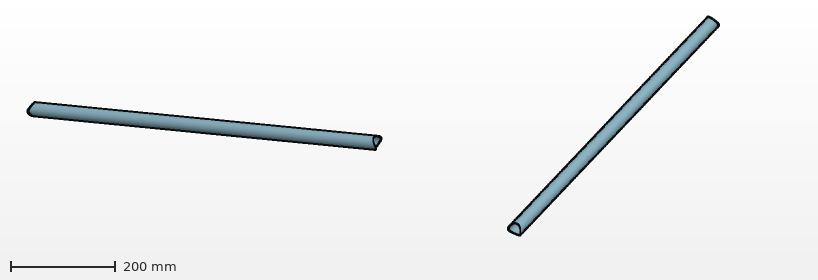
import cadquery as cq
import math

tube_diameter = 28.0
wall_thickness = 1.5
mating_diameter = 31.0

span_x = 743.26
span_y = 130.26
span_z = 57.03

start_roll = 5.0
start_lean = 0.0
end_roll = 23.0
end_lean = 5.0

bore_diameter = tube_diameter - 2 * wall_thickness
cutter_length = 4 * tube_diameter
span = cq.Vector(span_x, span_y, span_z)
start_point = span * -0.5
end_point = span * 0.5
tube_axis = span.normalized()
side_direction = cq.Vector(0, 0, 1).cross(tube_axis).normalized()
upright_direction = tube_axis.cross(side_direction)


def make_tube():
    """Straight round tube reaching from one mating axis to the other."""
    start_plane = cq.Plane(start_point, xDir=upright_direction, normal=tube_axis)
    section = cq.Workplane(start_plane).circle(tube_diameter / 2).circle(bore_diameter / 2)
    return section.extrude(span.Length)


def cope_cutter(centre, roll, lean):
    """Mating member through centre: upright, rolled about the tube, then leaned along it."""
    roll_angle = math.radians(roll)
    lean_angle = math.radians(lean)
    square_axis = upright_direction * math.cos(roll_angle) - side_direction * math.sin(roll_angle)
    axis = square_axis * math.cos(lean_angle) + tube_axis * math.sin(lean_angle)
    base = centre - axis * (cutter_length / 2)
    return cq.Workplane(cq.Plane(base, normal=axis)).circle(mating_diameter / 2).extrude(cutter_length)


def cope_ends(tube):
    """Saddle both ends of the tube to fit their mating members."""
    tube = tube.cut(cope_cutter(start_point, start_roll, start_lean))
    return tube.cut(cope_cutter(end_point, end_roll, end_lean))


result = cope_ends(make_tube())